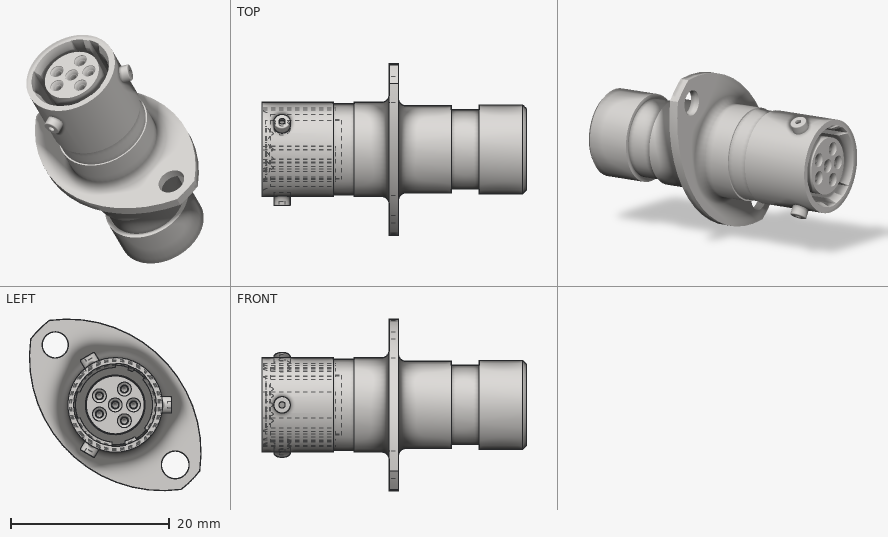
import cadquery as cq
import math


FRONT_BAND_END = 9.0
FLANGE_FRONT = 16.0
FLANGE_THICKNESS = 1.2
FLANGE_BACK = FLANGE_FRONT + FLANGE_THICKNESS
SHOULDER_START = 11.6
REAR_BODY_END = 23.83
CAP_START = 27.33
LENGTH = 33.31

BARREL_RADIUS = 5.95
RELIEF_RADIUS = 5.76
REAR_BODY_RADIUS = 5.5
NECK_RADIUS = 5.0
CAP_RADIUS = 5.6
CAP_CHAMFER = 0.5
FLANGE_FILLET = 0.9

FLANGE_REACH = 10.805
LENS_CENTER_OFFSET = 6.0
LENS_RADIUS = FLANGE_REACH + LENS_CENTER_OFFSET
TIP_RADIUS = 13.5
MOUNT_HOLE_OFFSET = 7.55
UPPER_HOLE_DIAMETER = 3.25
LOWER_HOLE_DIAMETER = 3.45

CAVITY_DEPTH = FRONT_BAND_END
CAVITY_RADIUS = 4.7
MOUTH_RADIUS = 5.17
MOUTH_DEPTH = 1.1

KEYWAY_RADIUS = 5.24
KEYWAY_WIDTH = 1.65
MAIN_KEYWAY_WIDTH = 3.25
KEYWAYS = [
    (180, MAIN_KEYWAY_WIDTH),
    (80, KEYWAY_WIDTH),
    (52.5, KEYWAY_WIDTH),
    (-48.5, KEYWAY_WIDTH),
    (-85, KEYWAY_WIDTH),
]

FLOOR_RADIUS = 5.0
FLOOR_SLOPE_DEPTH = KEYWAY_RADIUS - FLOOR_RADIUS

INSERT_FRONT = 0.45
INSERT_RADIUS = 3.64
GROOVE_RADIUS = 3.76
GROOVE_DEPTH = 1.0

CONTACT_CIRCLE_RADIUS = 2.3
CONTACT_ANGLES = [0, 60, 150, 210, 300]
SOCKET_MOUTH_RADIUS = 0.87
SOCKET_THROAT_RADIUS = 0.5
SOCKET_LEAD = 0.12
SOCKET_TAPER_DEPTH = 0.37
SOCKET_BORE_RADIUS = 0.42
SOCKET_POINT_DEPTH = 0.55

PIN_ANGLES = [0, 120, 240]
PIN_X = 2.54
PIN_RADIUS = 1.04
PIN_TIP = 7.08
PIN_ROUND = 0.12
PIN_BASE = 5.4
PIN_HOLE_RADIUS = 0.4
PIN_HOLE_DEPTH = 0.5


def around_axis(radius, angle):
    """(Y, Z) of a point at this radius and angle around the X axis."""
    turn = math.radians(angle)
    return -radius * math.cos(turn), radius * math.sin(turn)


def cylinder_x(radius, start, end):
    return cq.Workplane("YZ").workplane(offset=start).circle(radius).extrude(end - start)


def make_flange():
    def lens_disc(side):
        center = side * LENS_CENTER_OFFSET
        return cylinder_x(LENS_RADIUS, FLANGE_FRONT, FLANGE_BACK).translate((0, center, -center))

    flange = lens_disc(1).intersect(lens_disc(-1))
    flange = flange.intersect(cylinder_x(TIP_RADIUS, FLANGE_FRONT, FLANGE_BACK))
    for side, diameter in ((1, UPPER_HOLE_DIAMETER), (-1, LOWER_HOLE_DIAMETER)):
        offset = side * MOUNT_HOLE_OFFSET
        hole = cylinder_x(diameter / 2, FLANGE_FRONT, FLANGE_BACK).translate((0, offset, offset))
        flange = flange.cut(hole)
    return flange


def make_turned_body():
    """Stepped outside of the shell, with a concave fillet on each side of the flange."""
    front_root = BARREL_RADIUS + FLANGE_FILLET
    back_root = REAR_BODY_RADIUS + FLANGE_FILLET
    sag = FLANGE_FILLET * (1 - math.sqrt(0.5))
    profile = (
        cq.Workplane("XY")
        .lineTo(0, BARREL_RADIUS)
        .lineTo(FRONT_BAND_END, BARREL_RADIUS)
        .lineTo(FRONT_BAND_END, RELIEF_RADIUS)
        .lineTo(SHOULDER_START, RELIEF_RADIUS)
        .lineTo(SHOULDER_START, BARREL_RADIUS)
        .lineTo(FLANGE_FRONT - FLANGE_FILLET, BARREL_RADIUS)
        .threePointArc((FLANGE_FRONT - sag, BARREL_RADIUS + sag), (FLANGE_FRONT, front_root))
        .lineTo(FLANGE_BACK, front_root)
        .lineTo(FLANGE_BACK, back_root)
        .threePointArc(
            (FLANGE_BACK + sag, REAR_BODY_RADIUS + sag),
            (FLANGE_BACK + FLANGE_FILLET, REAR_BODY_RADIUS),
        )
        .lineTo(REAR_BODY_END, REAR_BODY_RADIUS)
        .lineTo(REAR_BODY_END, NECK_RADIUS)
        .lineTo(CAP_START, NECK_RADIUS)
        .lineTo(CAP_START, CAP_RADIUS)
        .lineTo(LENGTH - CAP_CHAMFER, CAP_RADIUS)
        .lineTo(LENGTH, CAP_RADIUS - CAP_CHAMFER)
        .lineTo(LENGTH, 0)
        .close()
    )
    return profile.revolve(360, (0, 0, 0), (1, 0, 0))


def make_cavity():
    """Space around the insert: flared mouth, straight bore, keyways and ring groove."""
    keyway_end = CAVITY_DEPTH + FLOOR_SLOPE_DEPTH
    cavity = (
        cq.Workplane("XY")
        .lineTo(0, MOUTH_RADIUS)
        .lineTo(MOUTH_DEPTH, CAVITY_RADIUS)
        .lineTo(CAVITY_DEPTH, CAVITY_RADIUS)
        .lineTo(CAVITY_DEPTH, GROOVE_RADIUS)
        .lineTo(CAVITY_DEPTH + GROOVE_DEPTH, GROOVE_RADIUS)
        .lineTo(CAVITY_DEPTH + GROOVE_DEPTH, INSERT_RADIUS)
        .lineTo(INSERT_FRONT, INSERT_RADIUS)
        .lineTo(INSERT_FRONT, 0)
        .close()
        .revolve(360, (0, 0, 0), (1, 0, 0))
    )
    keyway_ring = (
        cq.Workplane("XY")
        .moveTo(0, GROOVE_RADIUS)
        .lineTo(0, KEYWAY_RADIUS)
        .lineTo(keyway_end, KEYWAY_RADIUS)
        .lineTo(CAVITY_DEPTH, FLOOR_RADIUS)
        .lineTo(CAVITY_DEPTH, GROOVE_RADIUS)
        .close()
        .revolve(360, (0, 0, 0), (1, 0, 0))
    )
    for angle, width in KEYWAYS:
        bar = cq.Workplane("XY").box(keyway_end, 2 * KEYWAY_RADIUS, width, centered=(False, False, True))
        bar = bar.rotate((0, 0, 0), (1, 0, 0), 180 - angle)
        cavity = cavity.union(keyway_ring.intersect(bar))
    return cavity


def make_contact_socket():
    """Tapered entry, a narrow ledge and a pointed bottom, on the X axis."""
    taper_start = INSERT_FRONT + SOCKET_LEAD
    taper_end = taper_start + SOCKET_TAPER_DEPTH
    return (
        cq.Workplane("XY")
        .moveTo(INSERT_FRONT, 0)
        .lineTo(INSERT_FRONT, SOCKET_MOUTH_RADIUS)
        .lineTo(taper_start, SOCKET_MOUTH_RADIUS)
        .lineTo(taper_end, SOCKET_THROAT_RADIUS)
        .lineTo(taper_end, SOCKET_BORE_RADIUS)
        .lineTo(taper_end + SOCKET_POINT_DEPTH, 0)
        .close()
        .revolve(360, (0, 0, 0), (1, 0, 0))
    )


def make_pin(angle):
    """Headless round pin pointing outward, with a shallow hole in its rounded tip."""
    pin = cq.Workplane("XY").workplane(offset=PIN_BASE).circle(PIN_RADIUS).extrude(PIN_TIP - PIN_BASE)
    pin = pin.faces(">Z").edges().fillet(PIN_ROUND)
    pin = pin.faces(">Z").workplane().hole(2 * PIN_HOLE_RADIUS, PIN_HOLE_DEPTH)
    return pin.translate((PIN_X, 0, 0)).rotate((0, 0, 0), (1, 0, 0), 90 - angle)


def make_shell(pins):
    shell = make_turned_body().union(make_flange()).cut(make_cavity())
    socket = make_contact_socket()
    centers = [(0, 0)] + [around_axis(CONTACT_CIRCLE_RADIUS, angle) for angle in CONTACT_ANGLES]
    for y, z in centers:
        shell = shell.cut(socket.translate((0, y, z)))
    for pin in pins:
        shell = shell.cut(pin)
    return shell


pins = [make_pin(angle) for angle in PIN_ANGLES]
shell = make_shell(pins)

result = cq.Compound.makeCompound([shell.val(), *[pin.val() for pin in pins]])